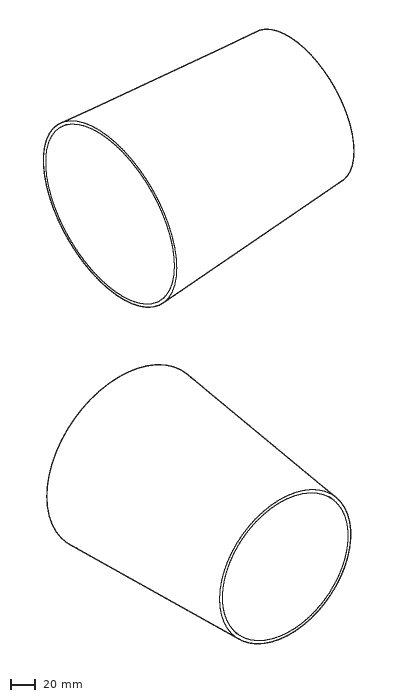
import cadquery as cq

length = 200.0
wide_diameter = 168.5
narrow_diameter = 139.8
wall = 3.0

wide_radius = wide_diameter / 2
narrow_radius = narrow_diameter / 2

wall_section = (
    cq.Workplane("XY")
    .moveTo(wide_radius - wall, 0)
    .lineTo(wide_radius, 0)
    .lineTo(narrow_radius, length)
    .lineTo(narrow_radius - wall, length)
    .close()
)

result = wall_section.revolve(360, (0, 0, 0), (0, 1, 0))